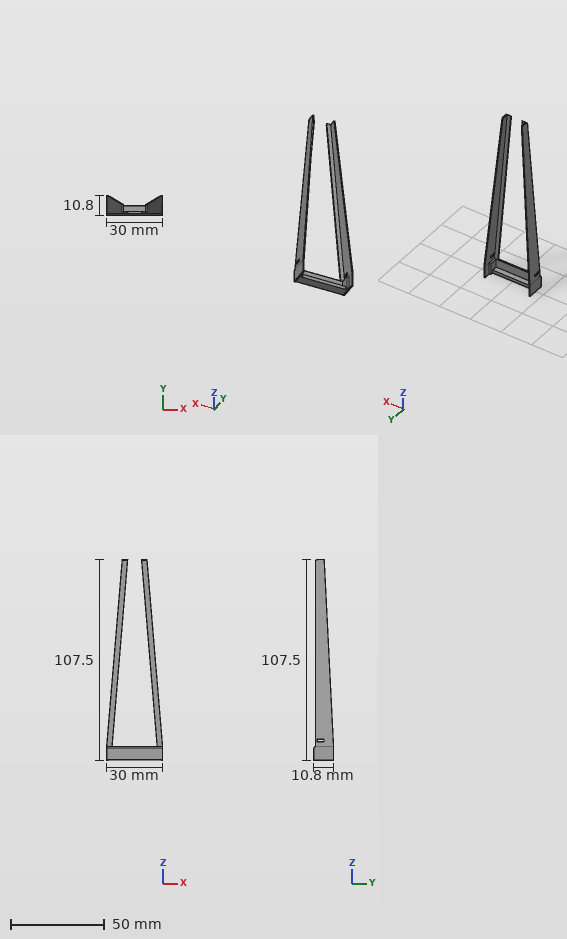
import cadquery as cq

width = 30.0
depth = 10.75
base_height = 7.5
leg_height = 100.0
total_height = base_height + leg_height

body_wall = 2.0
body_bottom = 0.25
floor_depth = 5.25
floor_thickness = 2.0
rib_depth = 7.0
edge_chamfer = 1.0
tip_chamfer = 0.75

sheet = 0.75
flange_width = 3.0
flange_thickness = 0.9
leg_front = edge_chamfer
tip_depth = 5.75
tip_half_width = 6.65

slot_front = 2.0
slot_length = 3.5
slot_bottom = 10.0
slot_height = 1.25

half_width = width / 2


def block(x_range, y_range, z_range):
    """Box spanning the given (start, end) ranges."""
    size = [end - start for start, end in (x_range, y_range, z_range)]
    return cq.Workplane("XY").box(*size, centered=False).translate(
        (x_range[0], y_range[0], z_range[0])
    )


def make_body():
    """Front wall with a chamfered top edge, a floor strip and a rib at each end."""
    inner_half = half_width - body_wall
    outline = [
        (0, body_bottom),
        (floor_depth, body_bottom),
        (floor_depth, body_bottom + floor_thickness),
        (body_wall, body_bottom + floor_thickness),
        (body_wall, base_height),
        (edge_chamfer, base_height),
        (0, base_height - edge_chamfer),
    ]
    body = cq.Workplane("YZ").polyline(outline).close().extrude(half_width, both=True)
    for x_range in ((-half_width, -inner_half), (inner_half, half_width)):
        body = body.union(block(x_range, (body_wall, rib_depth), (body_bottom, base_height)))
    return body


def leaning_strip(strip_width):
    """Left-hand strip, vertical along the base and leaning inwards above it, over the full depth."""
    outline = [
        (-half_width, 0),
        (-half_width + strip_width, 0),
        (-half_width + strip_width, base_height),
        (-tip_half_width + strip_width, total_height),
        (-tip_half_width, total_height),
        (-half_width, base_height),
    ]
    return cq.Workplane("XZ").polyline(outline).close().extrude(-depth)


def make_left_leg():
    """Side plate of the base and the leaning angle section above it."""
    side_outline = [
        (0, 0),
        (depth, 0),
        (depth, base_height),
        (tip_depth, total_height),
        (leg_front + tip_chamfer, total_height),
        (leg_front, total_height - tip_chamfer),
        (leg_front, base_height),
        (0, base_height - edge_chamfer),
    ]
    side_profile = cq.Workplane("YZ").polyline(side_outline).close().extrude(-half_width)
    flange_zone = block(
        (-half_width, 0),
        (leg_front, leg_front + flange_thickness),
        (base_height - edge_chamfer, total_height),
    )
    flange = leaning_strip(flange_width).intersect(flange_zone)
    slot = block(
        (-half_width, -half_width + flange_width),
        (slot_front, slot_front + slot_length),
        (slot_bottom, slot_bottom + slot_height),
    )
    return leaning_strip(sheet).union(flange).intersect(side_profile).cut(slot)


left_leg = make_left_leg()
right_leg = left_leg.mirror("YZ")
result = make_body().union(left_leg).union(right_leg)